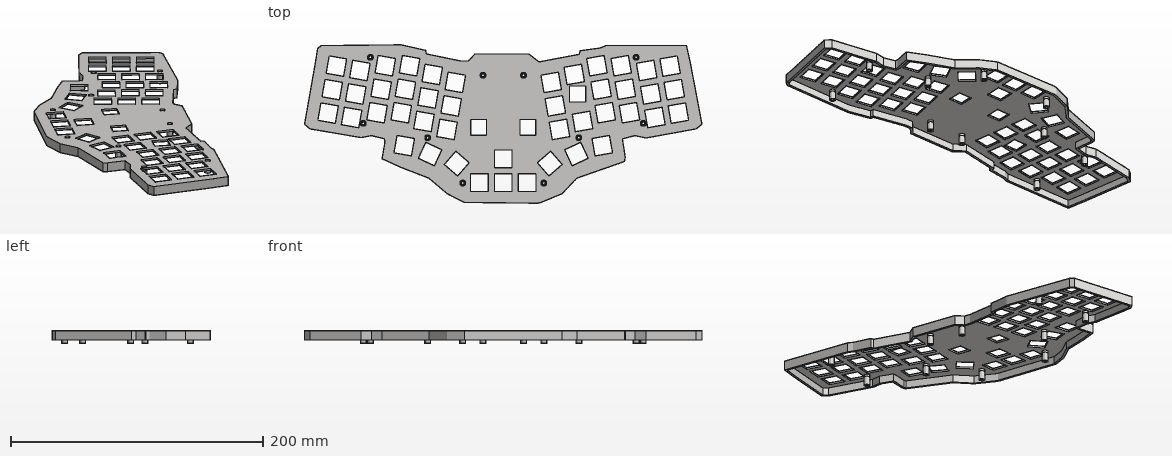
import cadquery as cq


case_height = 7.5
plate_thickness = 1.5
skirt_thickness = 2.0
post_drop = 2.5

switch_side = 14.0
row_pitch = 19.0
hand_tilt = 10
middle_row_centers = [(135.7, 27.0), (117.0, 23.7), (97.0, 27.5), (77.5, 27.5), (59.5, 20.5), (41.3, 14.2)]
thumb_keys = [(78.5, -17.5, hand_tilt), (58.0, -24.0, 25), (37.0, -31.5, 41)]
bottom_row_y = -46.7
space_key_y = bottom_row_y + row_pitch

window_side = 12.3
window_center = (19.5, -2.8)
odd_key_column = 4
odd_window_center = (59.0, 23.7)
odd_window_side = 12.5

post_diameter = 4.7
head_bore_diameter = 4.0
head_bore_depth = 3.0
screw_hole_diameter = 2.2
post_centers = [(105.5, 52.7), (16.0, 38.5), (111.0, 0.3), (60.0, -11.0), (32.2, -47.0)]

left_edge = [
    (-22.5, 55.5), (-27.8, 50.0), (-33.5, 50.0), (-61.0, 55.5), (-61.5, 58.5), (-81.0, 62.8),
    (-144.2, 62.2), (-147.5, 60.0), (-149.3, 48.0), (-157.8, -0.3), (-153.5, -4.0),
    (-113.0, -11.0), (-104.5, -9.5), (-94.5, -12.0), (-94.0, -14.8), (-96.2, -27.8), (-81.0, -34.7),
    (-59.0, -43.2), (-44.5, -55.5), (-31.0, -62.5),
]
right_edge = [
    (20.2, 55.5), (28.5, 49.2), (60.3, 55.2), (61.0, 58.0), (77.0, 60.3), (81.5, 62.2),
    (145.5, 62.2), (148.5, 48.0), (157.8, -0.3), (153.0, -4.0), (113.3, -11.5), (104.5, -9.5),
    (94.7, -12.0), (97.0, -26.5), (96.2, -30.0), (58.5, -43.2), (46.7, -55.5), (30.0, -62.5), (27.0, -63.0),
]


def case_outline():
    return cq.Workplane("XY").polyline(left_edge + right_edge[::-1]).close()


def make_shell():
    cavity_outline = case_outline().offset2D(-skirt_thickness, "intersection")
    cavity = cavity_outline.extrude(case_height - plate_thickness)
    return case_outline().extrude(case_height).cut(cavity)


def square_cutter(x, y, side, angle=0):
    cutter = cq.Workplane("XY").rect(side, side).extrude(case_height)
    return cutter.rotate((0, 0, 0), (0, 0, 1), angle).translate((x, y, 0))


def column_cutters(hand, column):
    """Three keys in a column; hand is -1 for left and 1 for right."""
    x, y = middle_row_centers[column]
    middle = square_cutter(0, 0, switch_side)
    keys = [middle.translate((0, row * row_pitch, 0)) for row in (-1, 0, 1)]
    keys = [key.rotate((0, 0, 0), (0, 0, 1), hand * hand_tilt).translate((hand * x, y, 0)) for key in keys]
    if hand == 1 and column == odd_key_column:
        keys[1] = square_cutter(*odd_window_center, odd_window_side)
    return keys


def hand_cutters(hand):
    cutters = []
    for column in range(len(middle_row_centers)):
        cutters += column_cutters(hand, column)
    for x, y, tilt in thumb_keys:
        cutters.append(square_cutter(hand * x, y, switch_side, hand * tilt))
    window_x, window_y = window_center
    cutters.append(square_cutter(hand * window_x, window_y, window_side))
    return cutters


def center_cutters():
    cutters = [square_cutter(step * row_pitch, bottom_row_y, switch_side) for step in (-1, 0, 1)]
    cutters.append(square_cutter(0, space_key_y, switch_side))
    return cutters


def cylinders(diameter, bottom, top):
    """One upright cylinder at every post."""
    places = [(hand * x, y) for hand in (-1, 1) for x, y in post_centers]
    plane = cq.Workplane("XY").workplane(offset=bottom)
    return plane.pushPoints(places).circle(diameter / 2).extrude(top - bottom)


result = make_shell()
for cutter in hand_cutters(-1) + hand_cutters(1) + center_cutters():
    result = result.cut(cutter)

result = result.union(cylinders(post_diameter, -post_drop, case_height))
result = result.cut(cylinders(head_bore_diameter, case_height - head_bore_depth, case_height))
result = result.cut(cylinders(screw_hole_diameter, -post_drop, case_height))